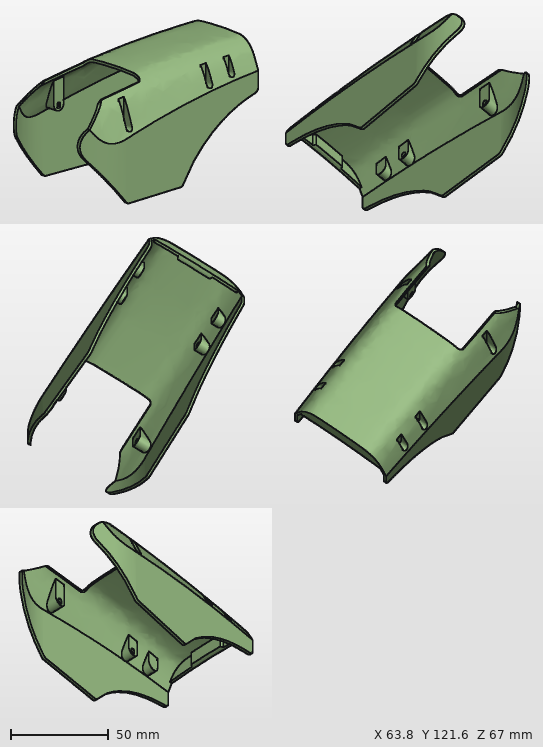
import cadquery as cq
import math


length = 121.6
height = 67.0
wall = 1.6
end_overrun = 7.3
top_clearance = 1.2
floor_drop = 12.2

crown_radius = 693.0
crease_rear_height = 50.0
crease_slope = 0.06
crease_curvature = 0.000987

rear_half_width = 29.0
side_taper = 0.03
nose_start = 25.5
nose_end = (23.1, -2.4)

roof_points = [(12.2, 0.4), (17.1, 1.1), (22.0, 4.0)]
flank_bulge = 0.9
section_count = 6

rear_edge_bottom = 38.9
rear_corner_radius = 3.0
sweep_start = (116.1, 37.5)
sweep_middle = (94.1, 28.1)
sweep_end = (75.0, 12.0)
skirt_rear = 66.4
skirt_front = 26.9
skirt_corner_radius = 2.2
nose_apex = (-4.6, 35.9)
nose_radius = 11.1
rim_front = (18.2, 55.6)
rim_rear = (46.6, 59.5)
rim_corner_radius = 2.2
rim_front_radius = 1.2

cutout_half_width = 21.0
cutout_corner_radius = 2.1

pockets = [(29.7, 40.0, True), (87.5, 50.1, True), (103.6, 52.3, False)]
pocket_radius = 2.0
pocket_floor_x = 24.0
housing_wall = 1.5
housing_radius = pocket_radius + housing_wall
housing_inner_x = pocket_floor_x - housing_wall
hole_radius = 1.15

rear_wall_thickness = 1.5
rear_wall_bottom = 56.4
rear_wall_radius = 243.2
pad_base_half_width = 10.5
pad_top_half_width = 9.7
pad_thickness = 1.5


def half_width(y):
    return rear_half_width + side_taper * (length - y)


def crown_height(y):
    run = length - y
    return height - crown_radius + math.sqrt(crown_radius**2 - run**2)


def crease_height(y):
    run = length - y
    return crease_rear_height - crease_slope * run - crease_curvature * run**2


def offset_inwards(points, distance):
    """Shift each inner point of a clockwise point row by distance along the local normal."""
    shifted = []
    for before, point, after in zip(points, points[1:], points[2:]):
        dx = after[0] - before[0]
        dz = after[1] - before[1]
        step = distance / math.hypot(dx, dz)
        shifted.append((point[0] + dz * step, point[1] - dx * step))
    return shifted


def section_wire(y, inset):
    """Closed cross-section of the shell at y, offset inwards by inset."""
    crown = crown_height(y)
    side = half_width(y)
    crease = crease_height(y)
    roof = [(0, crown)] + [(x, crown - drop) for x, drop in roof_points]
    shoulder_x, shoulder_z = roof[-1]
    flank_middle = ((shoulder_x + side) / 2 + flank_bulge, (shoulder_z + crease) / 2)
    right = offset_inwards(roof + [flank_middle, (side, crease)], inset)
    right.append((side - inset, crease))
    left = [(-x, z) for x, z in reversed(right)]
    plane = cq.Plane(origin=(0, y, 0), xDir=(1, 0, 0), normal=(0, -1, 0))
    outline = (
        cq.Workplane(plane)
        .moveTo(inset - side, -floor_drop)
        .lineTo(*left[0])
        .spline(left[1:] + [(0, crown - inset)] + right, includeCurrent=True)
        .lineTo(side - inset, -floor_drop)
        .close()
    )
    return outline.val()


def plan_prism(inset):
    """Vertical prism with the plan shape of the shell, offset inwards by inset."""
    rear_y = length + end_overrun
    plan = (
        cq.Workplane("XY", origin=(0, 0, -floor_drop))
        .moveTo(0, rear_y)
        .lineTo(half_width(rear_y), rear_y)
        .lineTo(half_width(nose_start), nose_start)
        .tangentArcPoint(nose_end, relative=False)
        .lineTo(0, nose_end[1])
        .mirrorY()
    )
    if inset:
        plan = plan.offset2D(-inset)
    return plan.extrude(height + 2 * floor_drop)


def raw_body(inset):
    """Untrimmed solid under the shell surface that lies inset below the outside."""
    first_y = -end_overrun
    step = (length + 2 * end_overrun) / (section_count - 1)
    wires = [section_wire(first_y + i * step, inset) for i in range(section_count)]
    loft = cq.Workplane(cq.Solid.makeLoft(wires))
    return loft.intersect(plan_prism(inset))


def side_outline():
    """Prism across X with the side outline of the part."""
    rear_top = (length, height + top_clearance)
    prism = (
        cq.Workplane("YZ")
        .moveTo(*rear_top)
        .lineTo(length, rear_edge_bottom)
        .lineTo(*sweep_start)
        .threePointArc(sweep_middle, sweep_end)
        .lineTo(skirt_rear, 0)
        .lineTo(skirt_front, 0)
        .lineTo(*nose_apex)
        .lineTo(*rim_front)
        .lineTo(*rim_rear)
        .lineTo(rim_rear[0], rear_top[1])
        .close()
        .extrude(length, both=True)
    )
    corners = [
        ((length, rear_edge_bottom), rear_corner_radius),
        ((skirt_rear, 0), skirt_corner_radius),
        ((skirt_front, 0), skirt_corner_radius),
        (nose_apex, nose_radius),
        (rim_front, rim_front_radius),
        (rim_rear, rim_corner_radius),
    ]
    for (y, z), radius in corners:
        prism = prism.edges(cq.NearestToPointSelector((0, y, z))).fillet(radius)
    return prism


def roof_cutout():
    """Prism opening the roof from the front end to the rear of the rim."""
    cut_length = rim_rear[0] + end_overrun
    return (
        cq.Workplane("XY")
        .center(0, rim_rear[0] - cut_length / 2)
        .rect(2 * cutout_half_width, cut_length)
        .extrude(height)
        .edges("|Z and >Y")
        .fillet(cutout_corner_radius)
    )


def round_bottom_slot(y, z, radius, start_x):
    """Upright slot prism with a round bottom centred at (y, z), from start_x outwards along +X."""
    return (
        cq.Workplane("YZ", origin=(start_x, 0, 0))
        .moveTo(y - radius, height)
        .lineTo(y - radius, z)
        .threePointArc((y, z - radius), (y + radius, z))
        .lineTo(y + radius, height)
        .close()
        .extrude(half_width(0))
    )


def on_both_sides(body):
    """Body together with its mirror image across the symmetry plane."""
    return body.union(body.mirror("YZ"))


def tie_hole(y, z):
    """Round-topped hole through the pocket floor, running down to the pocket's round bottom."""
    start_x = housing_inner_x - housing_wall
    upright = (
        cq.Workplane("YZ", origin=(start_x, 0, 0))
        .moveTo(y - hole_radius, z - pocket_radius)
        .lineTo(y - hole_radius, z)
        .threePointArc((y, z + hole_radius), (y + hole_radius, z))
        .lineTo(y + hole_radius, z - pocket_radius)
        .close()
        .extrude(3 * housing_wall)
    )
    return upright.intersect(round_bottom_slot(y, z, pocket_radius, start_x))


def rear_wall():
    """Wall across the top of the rear opening, with a raised pad in its middle."""
    depth = rear_wall_thickness + pad_thickness
    front_y = length - depth
    shoulder_y = length - rear_wall_thickness
    plan = (
        cq.Workplane("XY")
        .moveTo(0, length)
        .lineTo(half_width(0), length)
        .lineTo(half_width(0), shoulder_y)
        .lineTo(pad_base_half_width, shoulder_y)
        .lineTo(pad_top_half_width, front_y)
        .lineTo(0, front_y)
        .mirrorY()
        .extrude(height)
    )
    opening = (
        cq.Workplane("XZ", origin=(0, length, 0))
        .center(0, rear_wall_bottom - rear_wall_radius)
        .circle(rear_wall_radius)
        .extrude(depth)
    )
    return plan.cut(opening)


outer = raw_body(0)
shell = outer.cut(raw_body(wall))
inside_parts = rear_wall()
for pocket_y, pocket_z, _ in pockets:
    housing = round_bottom_slot(pocket_y, pocket_z, housing_radius, housing_inner_x)
    inside_parts = inside_parts.union(on_both_sides(housing))
result = shell.union(outer.intersect(inside_parts)).intersect(side_outline())
result = result.cut(roof_cutout())

for pocket_y, pocket_z, has_hole in pockets:
    pocket = round_bottom_slot(pocket_y, pocket_z, pocket_radius, pocket_floor_x)
    result = result.cut(on_both_sides(pocket))
    if has_hole:
        result = result.cut(on_both_sides(tie_hole(pocket_y, pocket_z)))